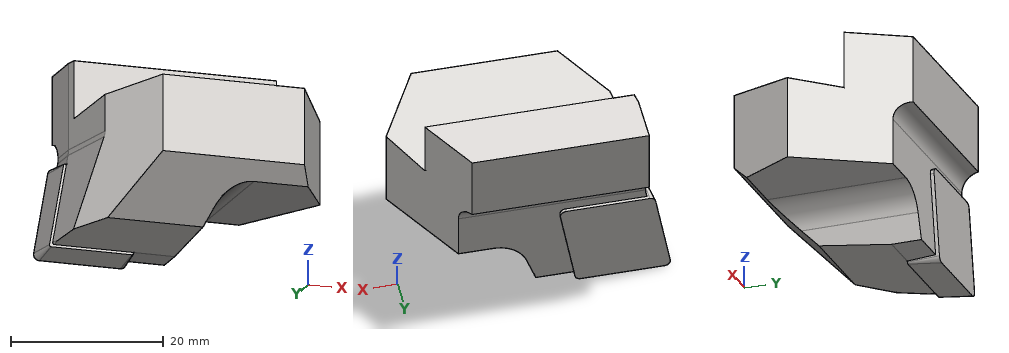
import cadquery as cq
import math

DEPTH = 24.1
TOP_Z = 26.0
RIGHT_X = 35.45
REACH = 53.2

BACK_RIGHT_X = 27.1
RIGHT_CORNER_Y = 9.6
FRONT_RIGHT_X = 29.95
FRONT_LEFT_X = 10.25
WALL_X = 3.23
WALL_CORNER_X = 4.95
WALL_CORNER_Y = 7.85

TONGUE_FRONT_Y = 16.15
SHOULDER_BACK_Z = 18.0
SHOULDER_FRONT_Z = 20.2
CHAMFER_FRONT_Z = 9.7
CHAMFER_BOTTOM_Y = 7.5
BOTTOM_Z = 0.92
CLEARANCE = 7.0
GROOVE_RADIUS = 5.5 / 2
GROOVE_CENTER_Y = 24.55
GROOVE_CENTER_Z = 13.85
GROOVE_FACE_Y = GROOVE_CENTER_Y - GROOVE_RADIUS

WALL_PLAN_ANGLE = 10.0
WALL_TILT = 10.0
BEND_Z = 13.72
BEND_RADIUS = 4.45
NOSE_RADIUS = 0.3
NOSE_LENGTH = 1.15
NOSE_END_RADIUS = 0.018

NOTCH_Z = 7.45
NOTCH_LEFT_X = 18.0
NOTCH_ANGLE = 70.0
NOTCH_RADIUS = 4.75

INSERT_FACE_Y = 22.35
SEAT_Y = 17.6
INSERT_SIDE = 12.9
INSERT_ANGLE = 80.0
INSERT_CORNER_RADIUS = 0.8


def make_plan_prism():
    """Plan outline with its left side left open for the wall profile."""
    front_edge_slope = (WALL_CORNER_X - FRONT_LEFT_X) / WALL_CORNER_Y
    left_y = (-WALL_X - FRONT_LEFT_X) / front_edge_slope
    outline = [
        (-WALL_X, DEPTH),
        (BACK_RIGHT_X, DEPTH),
        (RIGHT_X, RIGHT_CORNER_Y),
        (FRONT_RIGHT_X, 0),
        (FRONT_LEFT_X, 0),
        (-WALL_X, left_y),
    ]
    return cq.Workplane("XY").polyline(outline).close().extrude(TOP_Z)


def make_side_prism():
    """Side profile: tongue, sloped shoulder, front chamfer and chip groove."""
    chamfer_bottom_z = BOTTOM_Z + (SEAT_Y - CHAMFER_BOTTOM_Y) * math.tan(math.radians(CLEARANCE))
    groove_top_z = GROOVE_CENTER_Z + math.sqrt(GROOVE_RADIUS**2 - (GROOVE_CENTER_Y - DEPTH) ** 2)
    diagonal = GROOVE_RADIUS * math.sqrt(0.5)
    return (
        cq.Workplane("YZ", origin=(-REACH, 0, 0))
        .moveTo(DEPTH, TOP_Z)
        .lineTo(TONGUE_FRONT_Y, TOP_Z)
        .lineTo(TONGUE_FRONT_Y, SHOULDER_BACK_Z)
        .lineTo(0, SHOULDER_FRONT_Z)
        .lineTo(0, CHAMFER_FRONT_Z)
        .lineTo(CHAMFER_BOTTOM_Y, chamfer_bottom_z)
        .lineTo(SEAT_Y, BOTTOM_Z)
        .lineTo(GROOVE_FACE_Y, BOTTOM_Z)
        .lineTo(GROOVE_FACE_Y, GROOVE_CENTER_Z)
        .threePointArc(
            (GROOVE_CENTER_Y - diagonal, GROOVE_CENTER_Z + diagonal),
            (DEPTH, groove_top_z),
        )
        .close()
        .extrude(2 * REACH)
    )


def make_wall_prism():
    """Left wall profile, run straight back and, at a slight turn, forward from the insert seat."""
    tilt = math.radians(WALL_TILT)
    tangent = BEND_RADIUS * math.tan(tilt / 2)
    bend_center_x = WALL_X - BEND_RADIUS
    bend_top_z = BEND_Z + tangent
    bend_middle = (
        bend_center_x + BEND_RADIUS * math.cos(tilt / 2),
        bend_top_z - BEND_RADIUS * math.sin(tilt / 2),
    )
    bend_bottom = (
        bend_center_x + BEND_RADIUS * math.cos(tilt),
        bend_top_z - BEND_RADIUS * math.sin(tilt),
    )
    foot_x = WALL_X - BEND_Z * math.tan(tilt)
    profile = (
        cq.Workplane("XZ", origin=(0, SEAT_Y, 0))
        .moveTo(WALL_X, TOP_Z)
        .lineTo(WALL_X, bend_top_z)
        .threePointArc(bend_middle, bend_bottom)
        .lineTo(foot_x, 0)
        .lineTo(REACH, 0)
        .lineTo(REACH, TOP_Z)
        .close()
        .val()
    )
    turn = math.tan(math.radians(WALL_PLAN_ANGLE))
    back = cq.Solid.extrudeLinear(profile, [], cq.Vector(0, DEPTH - SEAT_Y, 0))
    front = cq.Solid.extrudeLinear(profile, [], cq.Vector(SEAT_Y * turn, -SEAT_Y, 0))
    return cq.Workplane(obj=back.fuse(front))


def make_nose_section(y, radius):
    """Area outside a rounding of the corner between tilted wall and bottom, at one Y."""
    tilt = math.radians(WALL_TILT)
    half_angle = (math.pi / 2 - tilt) / 2
    ahead = SEAT_Y - y
    corner_z = BOTTOM_Z + ahead * math.tan(math.radians(CLEARANCE))
    wall_shift = ahead * math.tan(math.radians(WALL_PLAN_ANGLE))
    corner_x = WALL_X + wall_shift - (BEND_Z - corner_z) * math.tan(tilt)
    tangent = radius / math.tan(half_angle)
    gap = radius / math.sin(half_angle) - radius
    middle = (corner_x + gap * math.cos(half_angle), corner_z + gap * math.sin(half_angle))
    wall_end = (corner_x + tangent * math.sin(tilt), corner_z + tangent * math.cos(tilt))
    return (
        cq.Workplane("XZ", origin=(0, y, 0))
        .moveTo(corner_x, corner_z)
        .lineTo(corner_x + tangent, corner_z)
        .threePointArc(middle, wall_end)
        .close()
        .val()
    )


def make_nose_cutter():
    """Material removed by the rounding that fades out ahead of the insert seat."""
    seat_section = make_nose_section(SEAT_Y, NOSE_RADIUS)
    end_section = make_nose_section(SEAT_Y - NOSE_LENGTH, NOSE_END_RADIUS)
    return cq.Workplane(obj=cq.Solid.makeLoft([seat_section, end_section], True))


def make_notch():
    """Clearance notch below the right side, with a rounded inner corner."""
    angle = math.radians(NOTCH_ANGLE)
    corner_x = NOTCH_LEFT_X + (NOTCH_Z - BOTTOM_Z) / math.tan(angle)
    foot_x = NOTCH_LEFT_X - BOTTOM_Z / math.tan(angle)
    outline = [(foot_x, 0), (corner_x, NOTCH_Z), (REACH, NOTCH_Z), (REACH, 0)]
    notch = cq.Workplane("XZ", origin=(0, DEPTH, 0)).polyline(outline).close().extrude(DEPTH)
    inner_corner = cq.selectors.NearestToPointSelector((corner_x, DEPTH / 2, NOTCH_Z))
    return notch.edges("|Y").edges(inner_corner).fillet(NOTCH_RADIUS)


def make_insert():
    """Rhombic cutting insert whose flanks taper toward its seat."""
    angle = math.radians(INSERT_ANGLE)
    corner_x = INSERT_CORNER_RADIUS * (1 - 1 / math.tan(angle / 2))
    lean_x = INSERT_SIDE * math.cos(angle)
    height = INSERT_SIDE * math.sin(angle)
    outline = [
        (corner_x, 0),
        (corner_x + INSERT_SIDE, 0),
        (corner_x + INSERT_SIDE + lean_x, height),
        (corner_x + lean_x, height),
    ]
    rhombus = cq.Sketch().polygon(outline + outline[:1]).vertices().fillet(INSERT_CORNER_RADIUS)
    return (
        cq.Workplane("XZ", origin=(0, INSERT_FACE_Y, 0))
        .placeSketch(rhombus)
        .extrude(INSERT_FACE_Y - SEAT_Y, taper=CLEARANCE)
    )


def make_holder(insert):
    """Holder body with a seat that matches the insert."""
    body = make_plan_prism().intersect(make_side_prism()).intersect(make_wall_prism())
    return body.cut(make_notch()).cut(make_nose_cutter()).cut(insert).solids()


insert = make_insert()
holder = make_holder(insert)

result = cq.Compound.makeCompound([holder.val(), insert.val()])